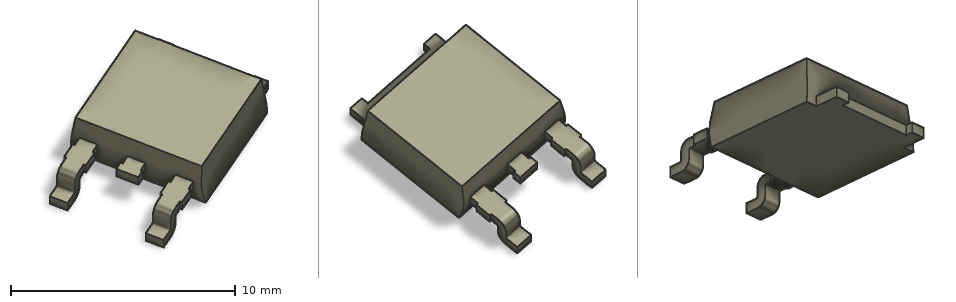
import cadquery as cq

body_width = 6.73
top_width = 6.34
body_front = 2.92
body_back = 9.15
front_slope = 0.2
back_slope = 0.21
body_top = 2.51
standoff = 0.15
skirt_height = 0.06
band_bottom = 0.96
band_top = 1.54

metal = 0.51
overall_length = 10.42

tab_width = 5.5
tab_notch_width = 4.0
tab_notch_depth = 0.38

lead_spacing = 4.81
lead_width = 0.9
lead_top = 1.51
lead_bottom = lead_top - metal
lead_wide_width = 1.1
lead_wide_back = 2.44
lead_wide_front = 1.6
stub_front = 2.02
bend_front = 0.69
outer_bend_radius = 0.49
inner_bend_radius = 0.08

embed = 0.31
pick_margin = 0.01


def side_profile(points):
    """Closed outline in the YZ plane."""
    return cq.Workplane("YZ").polyline(points).close()


def plate(width, y_front, y_back, z_bottom):
    """Rectangular piece of sheet metal, centred on X = 0."""
    size_y = y_back - y_front
    sheet = cq.Workplane("XY").box(width, size_y, metal, centered=(True, False, False))
    return sheet.translate((0, y_front, z_bottom))


def make_body():
    """Moulded body: YZ profile trimmed by the XZ profile that tapers towards the top."""
    skirt_top = standoff + skirt_height
    lengthwise = side_profile([
        (body_front + front_slope, standoff),
        (body_back, standoff),
        (body_back, standoff + metal),
        (body_back - back_slope, body_top),
        (body_front + front_slope, body_top),
        (body_front, band_top),
        (body_front, band_bottom),
    ]).extrude(body_width / 2, both=True)
    crosswise = (
        cq.Workplane("XZ")
        .polyline([
            (-body_width / 2, standoff),
            (body_width / 2, standoff),
            (body_width / 2, skirt_top),
            (top_width / 2, body_top),
            (-top_width / 2, body_top),
            (-body_width / 2, skirt_top),
        ])
        .close()
        .extrude(-overall_length)
    )
    return lengthwise.intersect(crosswise)


def make_tab():
    """Heat tab behind the body, notched in the middle of its rear edge."""
    tab = plate(tab_width, body_back - embed, overall_length, standoff)
    notch = plate(tab_notch_width, overall_length - tab_notch_depth, overall_length, standoff)
    return tab.cut(notch)


def edge_at(y, z):
    """Selector for the edge across a lead at the given Y and Z."""
    near = (-lead_width, y - pick_margin, z - pick_margin)
    far = (lead_width, y + pick_margin, z + pick_margin)
    return cq.selectors.BoxSelector(near, far)


def make_outer_lead(x_centre):
    """Gull-wing lead with a widened stretch near the body."""
    bend_back = bend_front + metal
    lead = side_profile([
        (body_front + embed, lead_top),
        (bend_front, lead_top),
        (bend_front, metal),
        (0, metal),
        (0, 0),
        (bend_back, 0),
        (bend_back, lead_bottom),
        (body_front + embed, lead_bottom),
    ]).extrude(lead_width / 2, both=True)

    outer_corners = edge_at(bend_front, lead_top) + edge_at(bend_back, 0)
    inner_corners = edge_at(bend_front, metal) + edge_at(bend_back, lead_bottom)
    lead = lead.edges(outer_corners).fillet(outer_bend_radius)
    lead = lead.edges(inner_corners).fillet(inner_bend_radius)
    wide = plate(lead_wide_width, lead_wide_front, lead_wide_back, lead_bottom)
    return lead.union(wide).translate((x_centre, 0, 0))


def make_middle_lead():
    """Short cut-off lead, widened at its end."""
    neck = plate(lead_width, stub_front, body_front + embed, lead_bottom)
    end = plate(lead_wide_width, stub_front, lead_wide_back, lead_bottom)
    return neck.union(end)


result = make_body().union(make_tab()).union(make_middle_lead())
for side in (-1, 1):
    result = result.union(make_outer_lead(side * lead_spacing / 2))